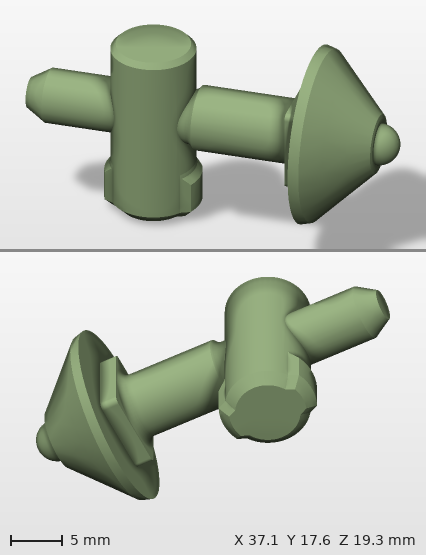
import cadquery as cq


BARREL_RADIUS = 4.15
BARREL_TOP = 7.5
BARREL_BOTTOM = -10.5
TOP_CHAMFER = 0.52
BOTTOM_CHAMFER = 1.0
CHAMFER_ANGLE = 45
FOOT_Z = BARREL_BOTTOM + BOTTOM_CHAMFER

LUG_RADIUS = 4.75
LUG_TOP = -5.3
LUG_STEP_RADIUS = 4.25
LUG_STEP_Z = -5.7
LUG_SHOULDER_Z = -6.5
LUG_FACE_HALF_WIDTH = 1.95
LUG_FACE_CORNER_X = (LUG_RADIUS**2 - LUG_FACE_HALF_WIDTH**2) ** 0.5
LUG_BASE_HALF_WIDTH = 2.4
LUG_BASE_X = (BARREL_RADIUS**2 - LUG_BASE_HALF_WIDTH**2) ** 0.5

PIN_RADIUS = 5.4 / 2
PIN_TIP_X = -12.4
PIN_TIP_RADIUS = 1.52
PIN_SHOULDER_X = -10.45

NECK_RADIUS = PIN_RADIUS
NECK_END_X = 3.85
NECK_FLARE_X = 4.4
NECK_FLARE_RADIUS = 2.95
SHANK_RADIUS = 6.4 / 2
SHANK_START_X = 4.65
COLLAR_SIDE = 8.05
COLLAR_CORNER_RADIUS = 0.55
COLLAR_START_X = 14.33
SHANK_FILLET = 0.75

CONE_START_X = 16.05
RIM_RADIUS = 17.55 / 2
RIM_LENGTH = 1.0
CONE_LARGE_RADIUS = 8.5
CONE_SMALL_RADIUS = 2.95
CONE_LENGTH = CONE_LARGE_RADIUS - CONE_SMALL_RADIUS
CONE_FACE_RADIUS = 5.0 / 2
BALL_RADIUS = 4.1 / 2
BALL_X = 37.12 + PIN_TIP_X - BALL_RADIUS


def revolve_about_x(profile):
    """Turn a closed XY profile around the X axis."""
    return profile.close().revolve(360, (0, 0, 0), (1, 0, 0))


def make_ball():
    return cq.Workplane("XY").sphere(BALL_RADIUS).translate((BALL_X, 0, 0))


def make_lug(side):
    """One lug: a stepped ring trimmed to flanks that widen inward, chamfered all round its foot."""
    ring = (
        cq.Workplane("XZ")
        .moveTo(0, BARREL_BOTTOM)
        .lineTo(LUG_RADIUS - BOTTOM_CHAMFER, BARREL_BOTTOM)
        .lineTo(LUG_RADIUS, FOOT_Z)
        .lineTo(LUG_RADIUS, LUG_SHOULDER_Z)
        .lineTo(LUG_STEP_RADIUS, LUG_STEP_Z)
        .lineTo(BARREL_RADIUS, LUG_TOP)
        .lineTo(0, LUG_TOP)
        .close()
        .revolve(360, (0, 0, 0), (0, 1, 0))
    )
    flank_slope = (LUG_BASE_HALF_WIDTH - LUG_FACE_HALF_WIDTH) / (LUG_FACE_CORNER_X - LUG_BASE_X)
    root_half_width = LUG_BASE_HALF_WIDTH + flank_slope * LUG_BASE_X
    wedge_end_x = LUG_RADIUS + BOTTOM_CHAMFER
    end_half_width = root_half_width - flank_slope * wedge_end_x
    wedge = (
        cq.Workplane("XY", origin=(0, 0, FOOT_Z))
        .polyline([
            (0, -root_half_width),
            (side * wedge_end_x, -end_half_width),
            (side * wedge_end_x, end_half_width),
            (0, root_half_width),
        ])
        .close()
        .extrude(LUG_TOP - FOOT_Z)
        .faces("<Z")
        .wires()
        .toPending()
        .workplane()
        .extrude(BOTTOM_CHAMFER, taper=CHAMFER_ANGLE)
    )
    return ring.intersect(wedge)


def make_barrel():
    """Cross barrel with two foot lugs and a through bore along X."""
    barrel = (
        cq.Workplane("XY", origin=(0, 0, BARREL_BOTTOM))
        .circle(BARREL_RADIUS)
        .extrude(BARREL_TOP - BARREL_BOTTOM)
        .faces(">Z")
        .chamfer(TOP_CHAMFER)
        .faces("<Z")
        .chamfer(BOTTOM_CHAMFER)
    )
    for side in (-1, 1):
        barrel = barrel.union(make_lug(side))
    bore = cq.Workplane("YZ").circle(PIN_RADIUS).extrude(BARREL_RADIUS, both=True)
    return barrel.cut(bore)


def make_pin():
    """Pin with a tapered tip, reaching the barrel axis."""
    return revolve_about_x(
        cq.Workplane("XY")
        .moveTo(PIN_TIP_X, 0)
        .lineTo(PIN_TIP_X, PIN_TIP_RADIUS)
        .lineTo(PIN_SHOULDER_X, PIN_RADIUS)
        .lineTo(0, PIN_RADIUS)
        .lineTo(0, 0)
    )


def make_bolt():
    """Bolt from the barrel axis to its square collar."""
    shank = revolve_about_x(
        cq.Workplane("XY")
        .lineTo(0, NECK_RADIUS)
        .lineTo(NECK_END_X, NECK_RADIUS)
        .tangentArcPoint((NECK_FLARE_X, NECK_FLARE_RADIUS), relative=False)
        .lineTo(SHANK_START_X, SHANK_RADIUS)
        .lineTo(COLLAR_START_X - SHANK_FILLET, SHANK_RADIUS)
        .tangentArcPoint((COLLAR_START_X, SHANK_RADIUS + SHANK_FILLET), relative=False)
        .lineTo(COLLAR_START_X, 0)
    )
    collar = (
        cq.Workplane("YZ", origin=(COLLAR_START_X, 0, 0))
        .rect(COLLAR_SIDE, COLLAR_SIDE)
        .extrude(CONE_START_X - COLLAR_START_X)
        .edges("|X")
        .fillet(COLLAR_CORNER_RADIUS)
    )
    return shank.union(collar)


def make_cone():
    """Cone with a slightly tapered rim and a half-ball seat in its small face."""
    flank_start_x = CONE_START_X + RIM_LENGTH
    cone = revolve_about_x(
        cq.Workplane("XY")
        .moveTo(CONE_START_X, 0)
        .lineTo(CONE_START_X, RIM_RADIUS)
        .lineTo(flank_start_x, CONE_LARGE_RADIUS)
        .lineTo(flank_start_x + CONE_LENGTH, CONE_SMALL_RADIUS)
        .lineTo(BALL_X, CONE_FACE_RADIUS)
        .lineTo(BALL_X, 0)
    )
    return cone.cut(make_ball())


barrel = make_barrel()
pin = make_pin()
bolt = make_bolt()
cone = make_cone()
ball = make_ball()

result = cq.Compound.makeCompound([barrel.val(), pin.val(), bolt.val(), cone.val(), ball.val()])